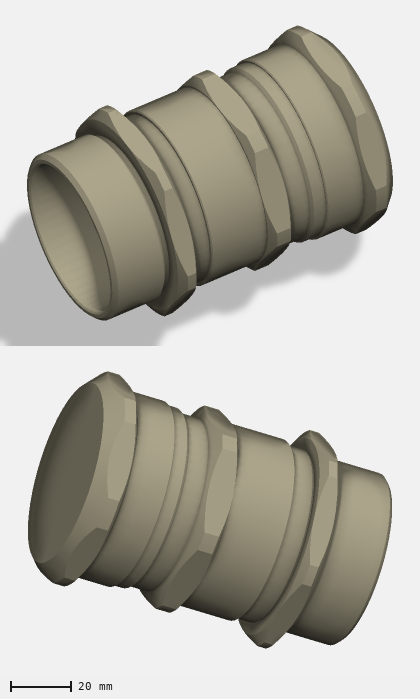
import cadquery as cq
import math

length = 106.0

spigot_dia = 59.6
relief_dia = 56.6
body_dia = 60.0
sleeve_dia = 62.9
ring_dia = 62.5
cap_dia = 64.5
bore_dia = 53.0

relief_start = 20.5
lock_nut_start = 21.8
lock_nut_end = 28.9
body_start = 29.2
sleeve_start = 36.5
middle_nut_start = 57.5
middle_nut_end = 67.5
ring_start = 74.4
cap_start = 80.2
cap_nut_start = 94.0

bore_depth = 19.3
bore_chamfer = 0.5
edge_chamfer = 0.4

large_flats = 68.0
middle_flats = 63.9
lock_corner_dia = 74.8
middle_corner_dia = 70.4
cap_corner_dia = 73.1
cap_end_dia = 62.3
nut_bevel = 30.0
cap_bevel = 45.0


def revolve_profile(points):
    """Turn (radius, Y) points, closed along the axis, about the Y axis."""
    start = (0, points[0][1])
    end = (0, points[-1][1])
    profile = cq.Workplane("XY").polyline([start] + points + [end]).close()
    return profile.revolve(360, (0, 0, 0), (0, 1, 0))


def hex_nut(start, end, flats, corner_dia, start_dia, end_dia, end_bevel=nut_bevel):
    """Hexagon with two flats facing +/-Z, turned to corner_dia and bevelled at both ends."""
    corner = corner_dia / 2
    start_rise = (corner_dia - start_dia) / 2 * math.tan(math.radians(nut_bevel))
    end_rise = (corner_dia - end_dia) / 2 * math.tan(math.radians(end_bevel))
    blank = revolve_profile([
        (start_dia / 2, start),
        (corner, start + start_rise),
        (corner, end - end_rise),
        (end_dia / 2, end),
    ])
    across_corners = flats / math.cos(math.radians(30))
    prism = cq.Workplane("XZ", origin=(0, start, 0)).polygon(6, across_corners).extrude(start - end)
    return blank.intersect(prism)


spigot_chamfer = (spigot_dia - relief_dia) / 2
ring_chamfer = (ring_dia - body_dia) / 2
body = revolve_profile([
    (relief_dia / 2, 0),
    (spigot_dia / 2, spigot_chamfer),
    (spigot_dia / 2, relief_start - spigot_chamfer),
    (relief_dia / 2, relief_start),
    (relief_dia / 2, lock_nut_start),
    (body_dia / 2 - edge_chamfer, lock_nut_start),
    (body_dia / 2 - edge_chamfer, body_start),
    (body_dia / 2, body_start + edge_chamfer),
    (body_dia / 2, sleeve_start),
    (sleeve_dia / 2 - edge_chamfer, sleeve_start),
    (sleeve_dia / 2, sleeve_start + edge_chamfer),
    (sleeve_dia / 2, middle_nut_start),
    (body_dia / 2, middle_nut_start),
    (body_dia / 2, ring_start),
    (ring_dia / 2, ring_start + ring_chamfer),
    (ring_dia / 2, cap_start),
    (cap_dia / 2 - edge_chamfer, cap_start),
    (cap_dia / 2, cap_start + edge_chamfer),
    (cap_dia / 2, cap_nut_start),
])

lock_nut = hex_nut(lock_nut_start, lock_nut_end, large_flats, lock_corner_dia, large_flats, large_flats)
middle_nut = hex_nut(
    middle_nut_start, middle_nut_end, middle_flats, middle_corner_dia, middle_flats, body_dia
)
cap_nut = hex_nut(
    cap_nut_start, length, large_flats, cap_corner_dia, cap_dia, cap_end_dia, cap_bevel
)

bore = revolve_profile([
    (bore_dia / 2 + bore_chamfer, 0),
    (bore_dia / 2, bore_chamfer),
    (bore_dia / 2, bore_depth),
])

result = body.union(lock_nut).union(middle_nut).union(cap_nut).cut(bore)